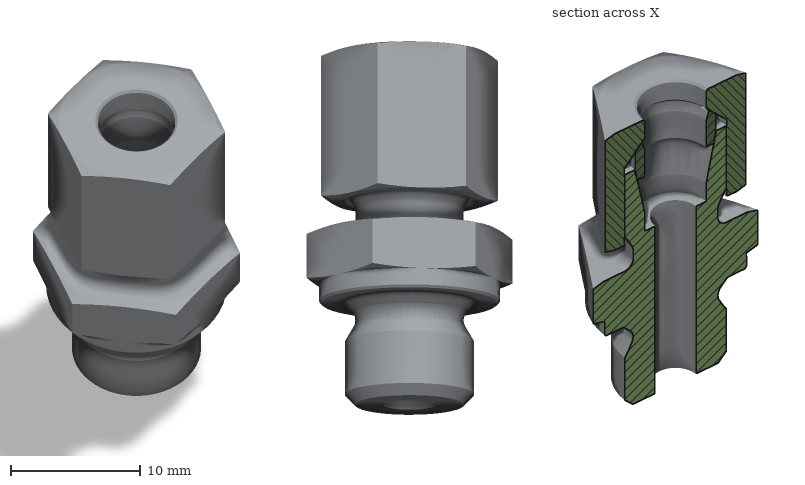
import cadquery as cq
import math


total_height = 27.5
nut_bottom_z = 16.0
body_hex_top_z = 13.5
body_hex_bottom_z = 9.5
collar_bottom_z = 8.0
body_top_z = 23.0
socket_floor_z = 16.5
stud_thread_top_z = 4.95
relief_arc_bottom_z = 6.05
relief_arc_top_z = 7.25
ring_top_z = 25.2

hex_sides = 6
body_hex_width = 14.0
nut_hex_width = 12.0
hex_chamfer_angle = math.radians(15)

thread_diameter = 10.0
neck_diameter = 8.4
through_bore_diameter = 4.0
tube_diameter = 6.0
cone_mouth_diameter = 8.0
ring_nose_diameter = 7.5

neck_fillet = 0.8
runout_gap = 0.38
collar_chamfer = 0.2
nut_mouth_chamfer = 0.2
nut_tube_bore_length = 1.9
ring_flare_depth = 0.72
ring_flare_width = 0.22
undercut_angle = math.radians(30)
seal_half_angle = math.radians(12)

thread_radius = thread_diameter / 2
neck_radius = neck_diameter / 2
tube_radius = tube_diameter / 2
cone_mouth_radius = cone_mouth_diameter / 2
ring_nose_radius = ring_nose_diameter / 2
collar_radius = body_hex_width / 2

nut_seat_top_z = total_height - nut_tube_bore_length
nut_seat_bottom_z = nut_seat_top_z - (thread_radius - tube_radius)


def revolve_profile(outline):
    """Turn a closed (radius, z) outline around the Z axis."""
    return outline.close().revolve(360, (0, 0, 0), (0, 1, 0))


def chamfered_hexagon(width, bottom_z, top_z):
    """Hexagonal prism whose corners are coned off from the inscribed circle at both ends."""
    half_sector_angle = 180 / hex_sides
    corner_diameter = width / math.cos(math.radians(half_sector_angle))
    prism = (
        cq.Workplane("XY", origin=(0, 0, bottom_z))
        .polygon(hex_sides, corner_diameter)
        .extrude(top_z - bottom_z)
        .rotate((0, 0, 0), (0, 0, 1), half_sector_angle)
    )
    corner_radius = corner_diameter / 2
    drop = (corner_radius - width / 2) * math.tan(hex_chamfer_angle)
    envelope = revolve_profile(
        cq.Workplane("XZ")
        .moveTo(0, bottom_z)
        .lineTo(width / 2, bottom_z)
        .lineTo(corner_radius, bottom_z + drop)
        .lineTo(corner_radius, top_z - drop)
        .lineTo(width / 2, top_z)
        .lineTo(0, top_z)
    )
    return prism.intersect(envelope)


def make_stud():
    """Lower stud: end chamfer, thread, undercut and sealing collar."""
    end_chamfer = thread_radius - neck_radius
    undercut_height = relief_arc_bottom_z - stud_thread_top_z
    arc_end_radius = thread_radius - undercut_height * math.tan(undercut_angle)
    arc_middle_z = (relief_arc_bottom_z + relief_arc_top_z) / 2
    flare_top_radius = arc_end_radius + collar_bottom_z - relief_arc_top_z
    return revolve_profile(
        cq.Workplane("XZ")
        .lineTo(neck_radius, 0)
        .lineTo(thread_radius, end_chamfer)
        .lineTo(thread_radius, stud_thread_top_z)
        .lineTo(arc_end_radius, relief_arc_bottom_z)
        .threePointArc((neck_radius, arc_middle_z), (arc_end_radius, relief_arc_top_z))
        .lineTo(flare_top_radius, collar_bottom_z)
        .lineTo(collar_radius - collar_chamfer, collar_bottom_z)
        .lineTo(collar_radius, collar_bottom_z + collar_chamfer)
        .lineTo(collar_radius, body_hex_bottom_z)
        .lineTo(0, body_hex_bottom_z)
    )


def make_spigot():
    """Upper spigot: filleted neck, 30 degree run-out and the thread for the nut."""
    fillet_center_radius = neck_radius + neck_fillet
    fillet_middle_angle = math.radians(45)
    lower_center_z = body_hex_top_z + neck_fillet
    lower_middle = (
        fillet_center_radius - neck_fillet * math.cos(fillet_middle_angle),
        lower_center_z - neck_fillet * math.sin(fillet_middle_angle),
    )
    arc_top_radius = fillet_center_radius - neck_fillet * math.cos(undercut_angle)
    arc_top_z = nut_bottom_z - runout_gap
    neck_top_z = arc_top_z - neck_fillet * math.sin(undercut_angle)
    upper_middle = (
        fillet_center_radius - neck_fillet * math.cos(undercut_angle / 2),
        neck_top_z + neck_fillet * math.sin(undercut_angle / 2),
    )
    runout_top_z = arc_top_z + (thread_radius - arc_top_radius) / math.tan(undercut_angle)
    return revolve_profile(
        cq.Workplane("XZ")
        .moveTo(0, body_hex_top_z)
        .lineTo(fillet_center_radius, body_hex_top_z)
        .threePointArc(lower_middle, (neck_radius, lower_center_z))
        .lineTo(neck_radius, neck_top_z)
        .threePointArc(upper_middle, (arc_top_radius, arc_top_z))
        .lineTo(thread_radius, runout_top_z)
        .lineTo(thread_radius, body_top_z)
        .lineTo(0, body_top_z)
    )


def make_body_bore():
    """Through bore, tube socket and the conical mouth that takes the ring."""
    cone_depth = (cone_mouth_radius - tube_radius) / math.tan(seal_half_angle)
    return revolve_profile(
        cq.Workplane("XZ")
        .lineTo(through_bore_diameter / 2, 0)
        .lineTo(through_bore_diameter / 2, socket_floor_z)
        .lineTo(tube_radius, socket_floor_z)
        .lineTo(tube_radius, body_top_z - cone_depth)
        .lineTo(cone_mouth_radius, body_top_z)
        .lineTo(0, body_top_z)
    )


def make_body():
    hexagon = chamfered_hexagon(body_hex_width, body_hex_bottom_z, body_hex_top_z)
    return make_stud().union(hexagon).union(make_spigot()).cut(make_body_bore())


def make_nut():
    """Union nut: hexagon with thread, 45 degree ring seat and chamfered tube bore."""
    bore = revolve_profile(
        cq.Workplane("XZ")
        .moveTo(0, nut_bottom_z)
        .lineTo(thread_radius, nut_bottom_z)
        .lineTo(thread_radius, nut_seat_bottom_z)
        .lineTo(tube_radius, nut_seat_top_z)
        .lineTo(tube_radius, total_height - nut_mouth_chamfer)
        .lineTo(tube_radius + nut_mouth_chamfer, total_height)
        .lineTo(0, total_height)
    )
    return chamfered_hexagon(nut_hex_width, nut_bottom_z, total_height).cut(bore)


def make_cutting_ring():
    """Ring resting on the nut's 45 degree seat, with its nose in the body's cone."""
    nose_z = body_top_z - (cone_mouth_radius - ring_nose_radius) / math.tan(seal_half_angle)
    top_radius = tube_radius + nut_seat_top_z - ring_top_z
    shoulder_z = nut_seat_top_z - (cone_mouth_radius - tube_radius)
    return revolve_profile(
        cq.Workplane("XZ")
        .moveTo(tube_radius, nose_z)
        .lineTo(ring_nose_radius, nose_z)
        .lineTo(cone_mouth_radius, body_top_z)
        .lineTo(cone_mouth_radius, shoulder_z)
        .lineTo(top_radius, ring_top_z)
        .lineTo(tube_radius + ring_flare_width, ring_top_z)
        .lineTo(tube_radius, ring_top_z - ring_flare_depth)
    )


body = make_body()
nut = make_nut()
cutting_ring = make_cutting_ring()

result = cq.Compound.makeCompound([body.val(), nut.val(), cutting_ring.val()])